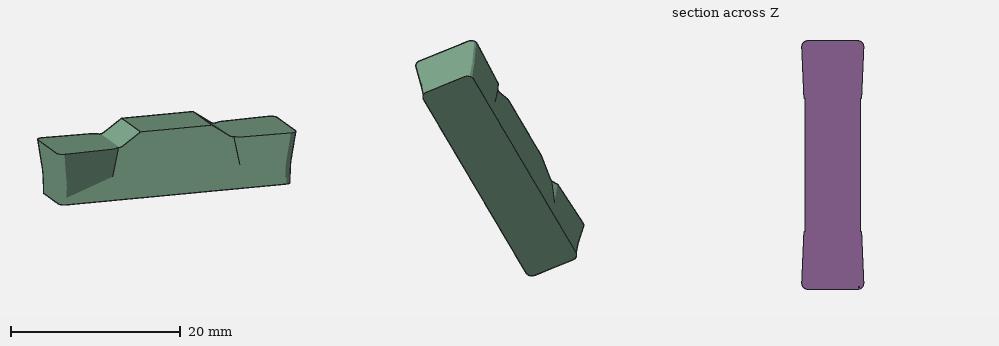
import cadquery as cq
import math

length = 30.0
height = 8.08
core_width = 6.59

head_height = 6.42
head_length = 7.02
tip_half_width = 4.036
back_taper = 2.5
neck_angle = 30.0
clearance_angle = 7.0
corner_radius = 0.8
neck_radius = 0.25

kink_height = 2.58
kink_radius = 4.5

hump_half_length = 4.48
ramp_foot = 6.92
ramp_radius = 0.66

half_length = length / 2
clearance_slope = math.tan(math.radians(clearance_angle))
base_half_length = half_length - (head_height - kink_height) * clearance_slope


def half_width_at(distance_from_tip):
    """Half width of the head's top outline, measured along its tapering side."""
    return tip_half_width - distance_from_tip * math.tan(math.radians(back_taper))


def side_envelope(width):
    """Lengthwise profile (ramps, head tops, leaning ends) extruded across the width."""
    right_half = [
        (base_half_length, 0),
        (base_half_length, kink_height),
        (half_length, head_height),
        (ramp_foot, head_height),
        (hump_half_length, height),
    ]
    left_half = [(-y, z) for y, z in reversed(right_half)]
    body = (
        cq.Workplane("YZ")
        .polyline(right_half + left_half)
        .close()
        .extrude(width / 2, both=True)
    )
    for blend_y, blend_z, radius in (
        (base_half_length, kink_height, kink_radius),
        (ramp_foot, head_height, ramp_radius),
    ):
        for side in (-1, 1):
            edge = cq.selectors.NearestToPointSelector((0, side * blend_y, blend_z))
            body = body.edges(edge).fillet(radius)
    return body


def make_core():
    """Straight middle body with rounded upright corners at its ends."""
    box = (
        cq.Workplane("XY")
        .rect(core_width, 2 * base_half_length)
        .extrude(height)
        .edges("|Z")
        .fillet(corner_radius)
    )
    return box.intersect(side_envelope(core_width))


def mirrored_outline(half_outline, inset):
    """Closed outline symmetric about X = 0, each half moved inward by the inset."""
    right_side = [(x - inset, y) for x, y in half_outline]
    left_side = [(-x, y) for x, y in reversed(right_side)]
    return right_side + left_side


def flat_faced_solid(bottom, top):
    """Solid between two outlines with matching, parallel sides, joined by flat faces."""
    outlines = [bottom, top]
    for i in range(len(top)):
        outlines.append([bottom[i - 1], bottom[i], top[i], top[i - 1]])
    faces = []
    for outline in outlines:
        points = [cq.Vector(*point) for point in outline]
        faces.append(cq.Face.makeFromWires(cq.Wire.makePolygon(points, close=True)))
    return cq.Workplane(cq.Solid.makeSolid(cq.Shell.makeShell(faces)))


def make_head():
    """Head at the +Y end: wide at the top and the tip, drafted on its flanks."""
    overrun = 1.0
    core_overlap = 1.0
    neck_half_width = half_width_at(head_length)
    root_half_width = core_width / 2 - core_overlap
    neck_length = (neck_half_width - root_half_width) / math.tan(math.radians(neck_angle))
    neck_y = half_length - head_length
    half_outline = [
        (half_width_at(-overrun), half_length + overrun),
        (neck_half_width, neck_y),
        (root_half_width, neck_y - neck_length),
    ]
    flank_inset = head_height * clearance_slope / math.cos(math.radians(back_taper))
    bottom = [(x, y, 0) for x, y in mirrored_outline(half_outline, flank_inset)]
    top = [(x, y, head_height) for x, y in mirrored_outline(half_outline, 0)]
    stock = flat_faced_solid(bottom, top)
    mid_height = head_height / 2
    for side in (-1, 1):
        edge = cq.selectors.NearestToPointSelector((side * neck_half_width, neck_y, mid_height))
        stock = stock.edges(edge).fillet(neck_radius)
    envelope_width = 4 * tip_half_width
    head = stock.intersect(side_envelope(envelope_width))
    tip_region = cq.selectors.BoxSelector(
        (-tip_half_width, base_half_length - corner_radius / 2, 0),
        (tip_half_width, half_length + overrun, head_height),
    )
    return head.edges(tip_region).edges("not #Z").edges("not |X").fillet(corner_radius)


head = make_head()
result = make_core().union(head).union(head.rotate((0, 0, 0), (0, 0, 1), 180))